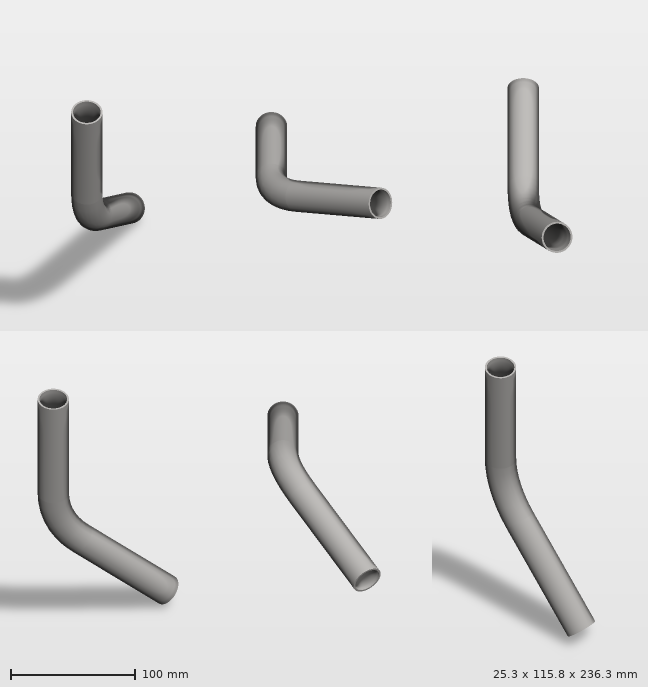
import cadquery as cq
import math

overall_height = 236.3
outer_diameter = 25.3
bore_diameter = 22.2
bend_radius = 76.3
bend_angle = math.radians(45)

sloped_end_drop = outer_diameter / 2 * math.sin(bend_angle)
bend_drop = bend_radius * math.sin(bend_angle)
leg_length = (overall_height - bend_drop - sloped_end_drop) / (1 + math.cos(bend_angle))


def bend_point(angle):
    """Centreline point (Y, Z) after turning by angle; the bend starts at the origin."""
    return bend_radius * (1 - math.cos(angle)), -bend_radius * math.sin(angle)


bend_end = bend_point(bend_angle)
lower_end = (
    bend_end[0] + leg_length * math.sin(bend_angle),
    bend_end[1] - leg_length * math.cos(bend_angle),
)
centreline = (
    cq.Workplane("YZ")
    .moveTo(0, leg_length)
    .lineTo(0, 0)
    .threePointArc(bend_point(bend_angle / 2), bend_end)
    .lineTo(*lower_end)
)

result = (
    cq.Workplane("XY", origin=(0, 0, leg_length))
    .circle(outer_diameter / 2)
    .circle(bore_diameter / 2)
    .sweep(centreline)
)